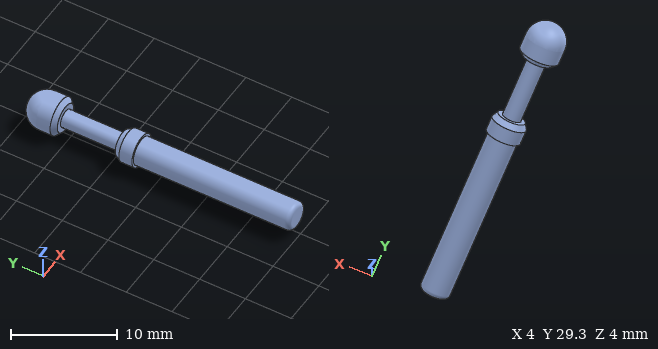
import cadquery as cq

total_length = 29.3

head_diameter = 4.0
head_radius = head_diameter / 2
head_length = 4.0
head_chamfer = 0.5

neck_radius = 0.95

collar_radius = 1.75
collar_front = 10.25
collar_back = 12.3
collar_taper_length = 0.62
collar_taper_depth = 0.35

shaft_radius = 1.5
shaft_end_fillet = 0.5


def cylinder(radius, start, end):
    """Cylinder along Y, placed by its distances behind the dome tip at Y = 0."""
    return cq.Workplane("XZ").workplane(offset=start).circle(radius).extrude(end - start)


def make_head():
    """Full hemisphere running into a short cylinder with a chamfered rear edge."""
    dome = cq.Workplane("XY").sphere(head_radius).translate((0, -head_radius, 0))
    barrel = cylinder(head_radius, head_radius, head_length).faces("<Y").chamfer(head_chamfer)
    return dome.union(barrel)


def make_collar():
    """Stop collar, tapered towards the neck and square towards the shaft."""
    taper_end = collar_front + collar_taper_length
    taper = cq.Solid.makeCone(
        collar_radius - collar_taper_depth,
        collar_radius,
        collar_taper_length,
        pnt=cq.Vector(0, -collar_front, 0),
        dir=cq.Vector(0, -1, 0),
    )
    return cylinder(collar_radius, taper_end, collar_back).union(cq.Workplane(taper))


def make_shaft():
    """Long shaft with a rounded free end."""
    return cylinder(shaft_radius, collar_back, total_length).faces("<Y").edges().fillet(shaft_end_fillet)


neck = cylinder(neck_radius, head_length, collar_front)

pin = make_head().union(neck).union(make_collar()).union(make_shaft())

result = pin.translate((0, total_length / 2, 0))